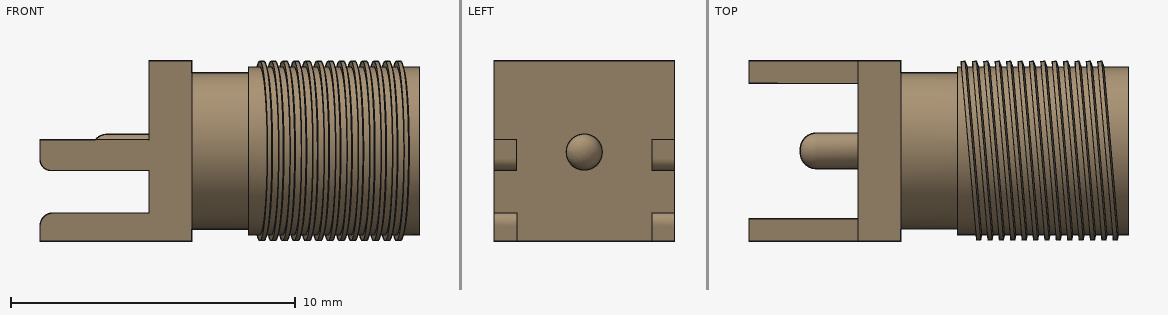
import cadquery as cq

length = 13.33
flange_side = 6.35

flange_back = 3.83
flange_thickness = 1.5
flange_front = flange_back + flange_thickness
barrel_start = 7.32

neck_diameter = 5.5
barrel_diameter = 5.9

thread_diameter = 6.3
ring_count = 13
ring_pitch = 0.4
first_ring_x = 7.72
ring_tilt = 5.0
ring_crest_width = 0.15
ring_root_width = 0.23
ring_root_diameter = 5.73

pin_diameter = 1.27
pin_tip_x = 1.8
pin_tip_radius = 0.57
pin_drop = 0.04

leg_width = 0.8
leg_embed_end = 4.83
short_leg_start = 1.0
short_leg_width = 0.81
upper_tip_radius = 0.4
lower_tip_radius = 0.47
upper_leg_top = 0.4
upper_leg_bottom = -0.69
lower_leg_top = -2.17
lower_leg_bottom = -flange_side / 2


def cylinder_along_x(diameter, start, end):
    return cq.Workplane("YZ", origin=(start, 0, 0)).circle(diameter / 2).extrude(end - start)


def flange():
    back_plane = cq.Workplane("YZ", origin=(flange_back, 0, 0))
    return back_plane.rect(flange_side, flange_side).extrude(flange_thickness)


def contact_pin():
    pin = cylinder_along_x(pin_diameter, pin_tip_x, flange_front)
    return pin.faces("<X").edges().fillet(pin_tip_radius).translate((0, 0, -pin_drop))


def leg(side, start, width, bottom, top):
    """Square-ended leg, flush with the flange on the given Y side."""
    bar = cq.Workplane("XY").box(leg_embed_end - start, width, top - bottom, centered=(False, True, False))
    return bar.translate((start, side * (flange_side - width) / 2, bottom))


def upper_leg(side):
    bar = leg(side, 0, leg_width, upper_leg_bottom, upper_leg_top)
    return bar.faces("<X").edges("<Z").fillet(upper_tip_radius)


def lower_leg(side, start, width):
    bar = leg(side, start, width, lower_leg_bottom, lower_leg_top)
    return bar.faces("<X").edges(">Z").fillet(lower_tip_radius)


def thread_ring(x):
    """Ring centred on the axis at x, leaning so its -Y side is further along +X."""
    root = ring_root_diameter / 2
    crest = thread_diameter / 2
    profile = [
        (0, 0),
        (0, crest),
        (ring_crest_width, crest),
        (ring_root_width, root),
        (ring_root_width, 0),
    ]
    ring = cq.Workplane("XY").polyline(profile).close().revolve(360, (0, 0, 0), (1, 0, 0))
    return ring.rotate((0, 0, 0), (0, 0, 1), ring_tilt).translate((x, 0, 0))


result = flange()
result = result.union(cylinder_along_x(neck_diameter, flange_front, barrel_start))
result = result.union(cylinder_along_x(barrel_diameter, barrel_start, length))
result = result.union(contact_pin())

result = result.union(upper_leg(-1)).union(upper_leg(1))
result = result.union(lower_leg(-1, 0, leg_width))
result = result.union(lower_leg(1, short_leg_start, short_leg_width))

for index in range(ring_count):
    result = result.union(thread_ring(first_ring_x + index * ring_pitch))